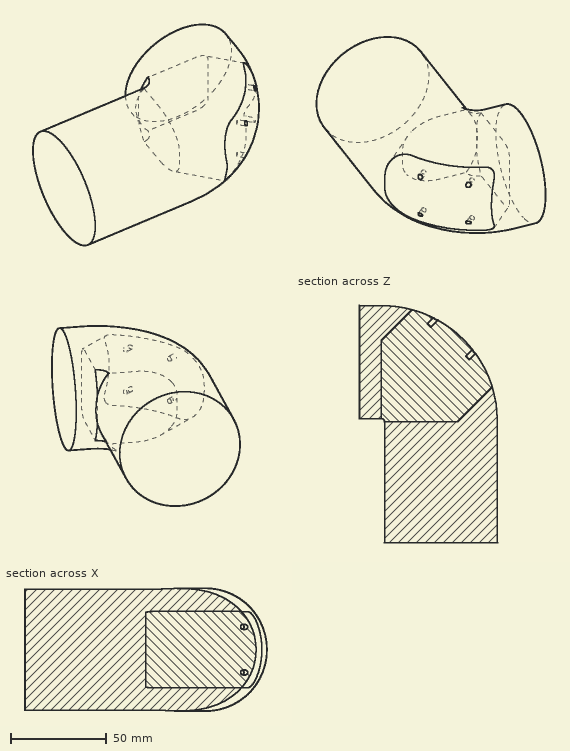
import cadquery as cq
import math

length_y = 127.0
pipe_radius = 32.3
bend_radius = 31.3
collar_length = 11.5
bend_outer_radius = bend_radius + pipe_radius
leg_length = length_y - bend_outer_radius

cover_half_width = 30.0
cover_half_height = 20.0
collar_corner_radius = 5.1
leg_corner_radius = 15.0

hole_diameter = 2.5
hole_depth = 5.1
hole_height = 12.0
hole_offsets = (-18.0, 8.3)


def make_bend():
    """Solid quarter bend, with its profile cut off at the bend axis."""
    axis_height = math.sqrt(pipe_radius**2 - bend_radius**2)
    return (
        cq.Workplane("XZ")
        .moveTo(0, -axis_height)
        .threePointArc((bend_outer_radius, 0), (0, axis_height))
        .close()
        .revolve(90, (0, 0, 0), (0, 1, 0))
    )


def make_collar():
    """Short straight stub toward -X."""
    return cq.Workplane("YZ").center(bend_radius, 0).circle(pipe_radius).extrude(-collar_length)


def make_leg():
    """Long straight pipe toward -Y."""
    return cq.Workplane("XZ").center(bend_radius, 0).circle(pipe_radius).extrude(leg_length)


def diagonal_plane(distance=0.0):
    """Plane facing diagonally outward; its local X runs from the collar to the leg."""
    offset = distance * math.sqrt(0.5)
    return cq.Plane(origin=(offset, offset, 0), xDir=(1, -1, 0), normal=(1, 1, 0))


def make_cover_space():
    """Rounded prism through the bend, with larger corners on the leg side."""
    return (
        cq.Workplane(diagonal_plane())
        .rect(2 * cover_half_width, 2 * cover_half_height)
        .extrude(bend_outer_radius)
        .edges("|(1, 1, 0)")
        .edges("<(1, -1, 0)")
        .fillet(collar_corner_radius)
        .edges("|(1, 1, 0)")
        .edges(">(1, -1, 0)")
        .fillet(leg_corner_radius)
    )


def make_screw_holes():
    """Blind holes whose depth is measured from the bend surface along the diagonal."""
    surface_radius = bend_radius + math.sqrt(pipe_radius**2 - hole_height**2)
    holes = cq.Workplane()
    for offset in hole_offsets:
        surface_distance = math.sqrt(surface_radius**2 - offset**2)
        for height in (-hole_height, hole_height):
            hole = (
                cq.Workplane(diagonal_plane(surface_distance - hole_depth))
                .center(offset, height)
                .circle(hole_diameter / 2)
                .extrude(2 * hole_depth)
            )
            holes = holes.add(hole)
    return holes.combine()


bend = make_bend()
cover_space = make_cover_space()

housing = bend.cut(cover_space).union(make_collar()).union(make_leg())

cover = bend.intersect(cover_space).cut(make_screw_holes())

result = cq.Compound.makeCompound([housing.val(), cover.val()])